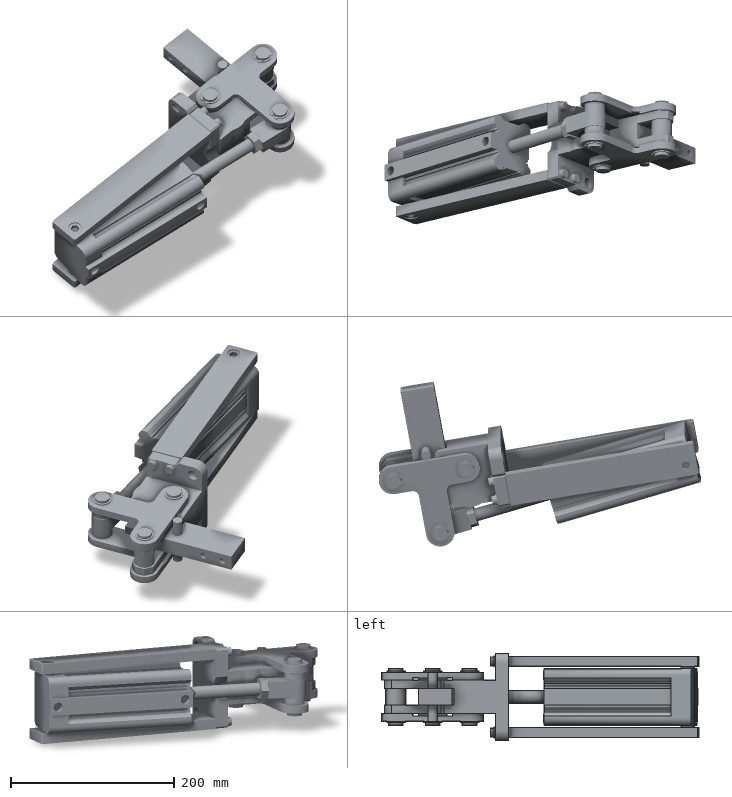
import cadquery as cq
import math


PIVOT_Y = 45.0
CRANK_X = 76.0
LINK_HALF_WIDTH = 17.5
LINK_OUTER_Z = 30.0
LINK_CORNER_RADIUS = 7.5
LINK_RELIEF_DEPTH = 2.7
LINK_RELIEF_HALF_WIDTH = 24.0
PIN_RADIUS = 9.0
PIN_HALF_LENGTH = 35.0
CLIP_RADIUS = 11.0
CLIP_THICKNESS = 1.5
CLIP_EAR_REACH = 11.5
CLIP_EAR_X = 5.5
CLIP_GAP_X = 2.5
SPACER_RADIUS = 12.5

BLOCK_LEFT = -23.7
BLOCK_RIGHT = 50.5
BLOCK_TOP = -10.5
BLOCK_HALF_HEIGHT = 20.5
BLOCK_CHAMFER = 3.5
BLOCK_NOSE_X = 27.2
BLOCK_NOSE_RADIUS = 25.5
POST_HALF_WIDTH = 14.0
POST_CHAMFER = 8.5

BAR_LEFT = -104.0
BAR_TOP = LINK_HALF_WIDTH
BAR_BOTTOM = -23.7
BAR_HALF_HEIGHT = 10.0
BAR_CLEARANCE = 2.5
BAR_HOLE_RADIUS = 4.0
BAR_HOLES_X = (-92.0, -66.5)
STOP_PIN_X = -24.5
STOP_PIN_RADIUS = 6.0

FLANGE_TOP = -77.0
FLANGE_BOTTOM = -93.0
FLANGE_HEIGHT = 107.0
FLANGE_RIGHT = 49.5
SEAT_CHAMFER = 2.0
ROD_NOTCH_X = 59.0
ROD_NOTCH_RADIUS = 17.5
FLANGE_CORNER_RADIUS = 12.0
FLANGE_HOLE_X = -11.3
FLANGE_HOLE_Z = 41.0
FLANGE_HOLE_RADIUS = 6.5

ARM_LEFT = 10.5
ARM_INNER_Z = 37.3
ARM_OUTER_Z = 49.7
ARM_BOTTOM = -326.0
ARM_CHAMFER = 1.5
SCREWS_X = (18.3, 42.0)
SCREW_HEAD_RADIUS = 5.5
SCREW_HEAD_TOP = 6.2
WASHER_RADIUS = 6.5
WASHER_THICKNESS = 1.5

TRUNNION_X = 37.3
TRUNNION_Y = -312.5
TRUNNION_RADIUS = 8.0
TRUNNION_RECESS = 1.5
SOCKET_DEPTH = 4.5
SOCKET_ACROSS_CORNERS = 11.0
BARREL_WIDTH = 63.5
BARREL_HEIGHT = 69.5
BARREL_CORNER_RADIUS = 8.5
BARREL_START = -7.8
BARREL_END = 174.0
TROUGH_START = 17.0
TROUGH_EDGE = 11.5
TROUGH_DEPTH = 4.5
SENSOR_GROOVE_EDGE = 18.5
SENSOR_GROOVE_WIDTH = 2.7
SENSOR_GROOVE_DEPTH = 2.5
RAIL_TOP = 37.5
RAIL_HALF_HEIGHT = 10.0
RIB_SINK = 2.7
PORT_RADIUS = 6.0
PORT_DEPTH = 11.5
PORT_INSET = 9.7

ROD_DIAMETER = 16.0
ROD_INSERTION = 19.5
EYE_HALF_WIDTH = 13.2
EYE_HALF_HEIGHT = 10.0
EYE_LENGTH = 36.5
NUT_HEIGHT = 9.0
NUT_ACROSS_CORNERS = 27.5

HEX_SIDES = 6

STEM_PINS = [(0, PIVOT_Y), (0, -PIVOT_Y)]
LINK_PINS = STEM_PINS + [(CRANK_X, 0)]
AXIS_X = CRANK_X - TRUNNION_X
AXIS_LENGTH = math.hypot(AXIS_X, TRUNNION_Y)
AXIS_TILT = math.degrees(math.atan2(AXIS_X, -TRUNNION_Y))


def block(x_range, y_range, z_range):
    """Box between two limits on each axis."""
    size = [high - low for low, high in (x_range, y_range, z_range)]
    corner = (x_range[0], y_range[0], z_range[0])
    return cq.Workplane("XY").box(*size, centered=False).translate(corner)


def upright(points, radius, bottom, top):
    """Cylinders along Z at the given points."""
    base = cq.Workplane("XY").workplane(offset=bottom)
    return base.pushPoints(points).circle(radius).extrude(top - bottom)


def along_y(points, radius, bottom, top):
    """Cylinders along Y at the given (x, z) points."""
    base = cq.Workplane("ZX").workplane(offset=bottom)
    return base.pushPoints([(z, x) for x, z in points]).circle(radius).extrude(top - bottom)


def on_cylinder_axis(shape):
    """Move a shape built along +Y from the origin onto the tilted cylinder axis."""
    return shape.rotate((0, 0, 0), (0, 0, 1), -AXIS_TILT).translate((TRUNNION_X, TRUNNION_Y, 0))


def mirrored(shape):
    """A shape together with its mirror image below Z = 0."""
    return shape.union(shape.mirror("XY"))


def make_flange():
    half = FLANGE_HEIGHT / 2
    body = block((BLOCK_LEFT, ARM_LEFT), (FLANGE_BOTTOM, FLANGE_TOP), (-half, half))
    body = body.edges("|Y and <X").fillet(FLANGE_CORNER_RADIUS)
    body = body.edges("|Y and >X").chamfer(half - ARM_OUTER_Z)
    arm_seat = block((ARM_LEFT, FLANGE_RIGHT), (FLANGE_BOTTOM, FLANGE_TOP), (-ARM_OUTER_Z, ARM_OUTER_Z))
    arm_seat = arm_seat.faces("<Z or >Z").edges("not >Y").chamfer(SEAT_CHAMFER)
    notch = along_y([(ROD_NOTCH_X, 0)], ROD_NOTCH_RADIUS, FLANGE_BOTTOM, FLANGE_TOP)
    holes = along_y(
        [(FLANGE_HOLE_X, z) for z in (-FLANGE_HOLE_Z, FLANGE_HOLE_Z)],
        FLANGE_HOLE_RADIUS, FLANGE_BOTTOM, FLANGE_TOP,
    )
    return body.union(arm_seat).cut(holes).cut(notch)


def make_arm():
    arm = block((ARM_LEFT, BLOCK_RIGHT), (ARM_BOTTOM, FLANGE_BOTTOM), (ARM_INNER_Z, ARM_OUTER_Z))
    arm = arm.edges("|Z and <Y").chamfer(ARM_CHAMFER)
    return arm.cut(upright([(TRUNNION_X, TRUNNION_Y)], TRUNNION_RADIUS, ARM_INNER_Z, ARM_OUTER_Z))


def make_screws():
    centers = [(x, (ARM_INNER_Z + ARM_OUTER_Z) / 2) for x in SCREWS_X]
    washers = along_y(centers, WASHER_RADIUS, FLANGE_TOP, FLANGE_TOP + WASHER_THICKNESS)
    return washers.union(along_y(centers, SCREW_HEAD_RADIUS, FLANGE_TOP, FLANGE_TOP + SCREW_HEAD_TOP))


def make_housing():
    z_range = (-BLOCK_HALF_HEIGHT, BLOCK_HALF_HEIGHT)
    base = block((BLOCK_LEFT, BLOCK_RIGHT), (FLANGE_TOP, BLOCK_TOP), z_range)
    base = base.edges("|Z and <X and >Y").chamfer(BLOCK_CHAMFER)
    base = base.union(upright([(BLOCK_NOSE_X, -PIVOT_Y)], BLOCK_NOSE_RADIUS, *z_range))
    post_top = PIVOT_Y + POST_HALF_WIDTH
    post = block((-POST_HALF_WIDTH, POST_HALF_WIDTH), (BLOCK_TOP, post_top), z_range)
    post = post.edges("|Z and >Y").chamfer(POST_CHAMFER)
    slot = block(
        (BLOCK_LEFT, BLOCK_RIGHT), (BAR_BOTTOM - BAR_CLEARANCE, post_top),
        (-BAR_HALF_HEIGHT, BAR_HALF_HEIGHT),
    )
    body = base.union(post).cut(slot).cut(upright(STEM_PINS, PIN_RADIUS, *z_range))
    return body.union(make_flange()).union(mirrored(make_arm())).union(mirrored(make_screws()))


def make_link_plate():
    half = LINK_HALF_WIDTH
    thickness = LINK_OUTER_Z - BLOCK_HALF_HEIGHT
    base = cq.Workplane("XY").workplane(offset=BLOCK_HALF_HEIGHT)
    stem = base.slot2D(2 * (PIVOT_Y + half), 2 * half, 90).extrude(thickness)
    crank = base.center(CRANK_X / 2, 0).slot2D(CRANK_X + 2 * half, 2 * half).extrude(thickness)
    corner_box = cq.selectors.BoxSelector(
        (half / 2, -LINK_RELIEF_HALF_WIDTH, 0), (2 * half, LINK_RELIEF_HALF_WIDTH, LINK_OUTER_Z)
    )
    plate = stem.union(crank).edges("|Z").edges(corner_box).fillet(LINK_CORNER_RADIUS)
    relief = block(
        (-half, half + LINK_CORNER_RADIUS), (-LINK_RELIEF_HALF_WIDTH, LINK_RELIEF_HALF_WIDTH),
        (BLOCK_HALF_HEIGHT, BLOCK_HALF_HEIGHT + LINK_RELIEF_DEPTH),
    )
    return plate.cut(relief)


def make_clip(x, y):
    """Retaining ring with two ears toward -Y and a gap between them."""
    z_range = (LINK_OUTER_Z, LINK_OUTER_Z + CLIP_THICKNESS)
    ring = upright([(x, y)], CLIP_RADIUS, *z_range)
    ears = block((x - CLIP_EAR_X, x + CLIP_EAR_X), (y - CLIP_EAR_REACH, y), z_range)
    gap = block((x - CLIP_GAP_X, x + CLIP_GAP_X), (y - CLIP_EAR_REACH, y - PIN_RADIUS), z_range)
    return ring.union(ears).cut(gap)


def make_link():
    plate = make_link_plate()
    for x, y in LINK_PINS:
        plate = plate.union(make_clip(x, y))
    pins = upright(LINK_PINS, PIN_RADIUS, -PIN_HALF_LENGTH, PIN_HALF_LENGTH)
    spacer = upright([(0, PIVOT_Y)], SPACER_RADIUS, -BAR_HALF_HEIGHT, BAR_HALF_HEIGHT)
    crank_spacer = upright([(CRANK_X, 0)], SPACER_RADIUS, EYE_HALF_HEIGHT, BLOCK_HALF_HEIGHT)
    return pins.union(spacer).union(mirrored(plate.union(crank_spacer)))


def make_bar():
    bar = block((BAR_LEFT, POST_HALF_WIDTH), (BAR_BOTTOM, BAR_TOP), (-BAR_HALF_HEIGHT, BAR_HALF_HEIGHT))
    bar = bar.cut(along_y([(x, 0) for x in BAR_HOLES_X], BAR_HOLE_RADIUS, BAR_BOTTOM, BAR_TOP))
    return bar.union(upright([(STOP_PIN_X, 0)], STOP_PIN_RADIUS, -LINK_OUTER_Z, LINK_OUTER_Z))


def trough_cutter(face_distance, half_width):
    """Sensor trough for the barrel face at +X = face_distance, with two sensor grooves in its floor."""
    edge = half_width - TROUGH_EDGE
    floor = face_distance - TROUGH_DEPTH
    floor_edge = edge - TROUGH_DEPTH
    length = BARREL_END - TROUGH_START
    base = cq.Workplane("ZX").workplane(offset=TROUGH_START)
    profile = [(-edge, face_distance), (-floor_edge, floor), (floor_edge, floor), (edge, face_distance)]
    cutter = base.polyline(profile).close().extrude(length)
    groove_z = half_width - SENSOR_GROOVE_EDGE - SENSOR_GROOVE_WIDTH / 2
    groove_x = floor - SENSOR_GROOVE_DEPTH / 2
    grooves = base.pushPoints([(-groove_z, groove_x), (groove_z, groove_x)])
    return cutter.union(grooves.rect(SENSOR_GROOVE_WIDTH, SENSOR_GROOVE_DEPTH).extrude(length))


def make_cylinder():
    half_width = BARREL_WIDTH / 2
    half_height = BARREL_HEIGHT / 2
    barrel = block((-half_width, half_width), (BARREL_START, BARREL_END), (-half_height, half_height))
    barrel = barrel.edges("|Y").fillet(BARREL_CORNER_RADIUS)
    side_trough = trough_cutter(half_width, half_height)
    top_trough = trough_cutter(half_height, half_width).rotate((0, 0, 0), (0, 1, 0), -90)
    barrel = barrel.cut(side_trough).cut(side_trough.mirror("YZ"))
    barrel = barrel.cut(top_trough).cut(top_trough.mirror("XY"))
    rail = block(
        (RIB_SINK - half_width, RAIL_TOP), (BARREL_START, BARREL_END), (-RAIL_HALF_HEIGHT, RAIL_HALF_HEIGHT)
    )
    ports = cq.Workplane("YZ", origin=(RAIL_TOP, 0, 0))
    ports = ports.pushPoints([(BARREL_START + PORT_INSET, 0), (BARREL_END - PORT_INSET, 0)])
    ports = ports.circle(PORT_RADIUS).extrude(-PORT_DEPTH)
    trunnion_end = ARM_OUTER_Z - TRUNNION_RECESS
    trunnion = upright([(0, 0)], TRUNNION_RADIUS, half_height, trunnion_end)
    trunnion = trunnion.faces(">Z").workplane().polygon(HEX_SIDES, SOCKET_ACROSS_CORNERS).cutBlind(-SOCKET_DEPTH)
    rod_bore = along_y([(0, 0)], ROD_DIAMETER / 2, BARREL_END - ROD_INSERTION, BARREL_END)
    return on_cylinder_axis(barrel.union(rail).union(mirrored(trunnion)).cut(rod_bore).cut(ports))


def make_rod():
    z_range = (-EYE_HALF_HEIGHT, EYE_HALF_HEIGHT)
    nut_top = AXIS_LENGTH - EYE_LENGTH
    shaft = along_y([(0, 0)], ROD_DIAMETER / 2, BARREL_END - ROD_INSERTION, nut_top)
    nut = cq.Workplane("XZ", origin=(0, nut_top, 0)).polygon(HEX_SIDES, NUT_ACROSS_CORNERS).extrude(NUT_HEIGHT)
    eye = block((-EYE_HALF_WIDTH, EYE_HALF_WIDTH), (nut_top, AXIS_LENGTH), z_range)
    eye = eye.union(upright([(0, AXIS_LENGTH)], EYE_HALF_WIDTH, *z_range))
    eye = eye.cut(upright([(0, AXIS_LENGTH)], PIN_RADIUS, *z_range))
    return on_cylinder_axis(shaft.union(nut).union(eye))


housing = make_housing()
link = make_link()
bar = make_bar()
cylinder = make_cylinder()
rod = make_rod()

bodies = [housing, link, bar, cylinder, rod]
result = cq.Compound.makeCompound([body.solids().val() for body in bodies])